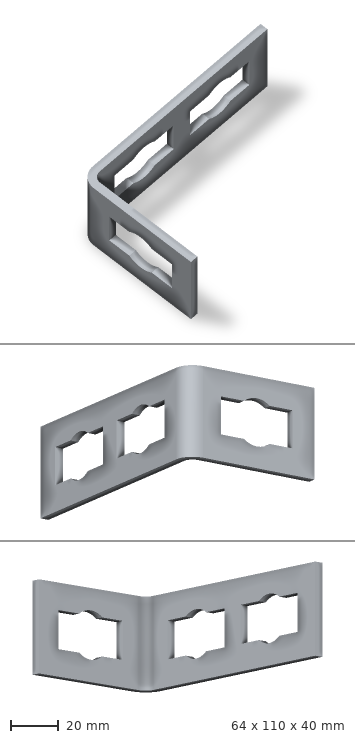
import cadquery as cq

long_leg = 110.0
short_leg = 64.0
strip_width = 40.0
thickness = 4.0
bend_outer_radius = 8.0
bend_inner_radius = bend_outer_radius - thickness

slot_length = 36.0
slot_height = 16.6
hole_diameter = 21.0

end_margin = 11.0
slot_web = 10.0
slot_pitch = slot_length + slot_web

short_leg_slot = short_leg - end_margin - slot_length / 2
long_leg_outer_slot = long_leg - end_margin - slot_length / 2
long_leg_slots = [long_leg_outer_slot, long_leg_outer_slot - slot_pitch]


def bent_strip():
    """L-shaped strip, centred on Z = 0, with its outer faces on X = 0 and Y = 0."""
    strip = (
        cq.Workplane("XY")
        .polyline([
            (0, 0),
            (short_leg, 0),
            (short_leg, thickness),
            (thickness, thickness),
            (thickness, long_leg),
            (0, long_leg),
        ])
        .close()
        .extrude(strip_width / 2, both=True)
    )
    outer_corner = cq.selectors.NearestToPointSelector((0, 0, 0))
    inner_corner = cq.selectors.NearestToPointSelector((thickness, thickness, 0))
    strip = strip.edges("|Z").edges(outer_corner).fillet(bend_outer_radius)
    return strip.edges("|Z").edges(inner_corner).fillet(bend_inner_radius)


def slot_cutter(plane, position):
    """Slot outline centred at a distance along the leg, cutting through its thickness only."""
    sketch_plane = cq.Workplane(plane).center(position, 0)
    rectangle = sketch_plane.rect(slot_length, slot_height).extrude(thickness)
    hole = sketch_plane.circle(hole_diameter / 2).extrude(thickness)
    return rectangle.union(hole)


result = bent_strip()

result = result.cut(slot_cutter("XZ", short_leg_slot).translate((0, thickness, 0)))

for slot_position in long_leg_slots:
    result = result.cut(slot_cutter("YZ", slot_position))